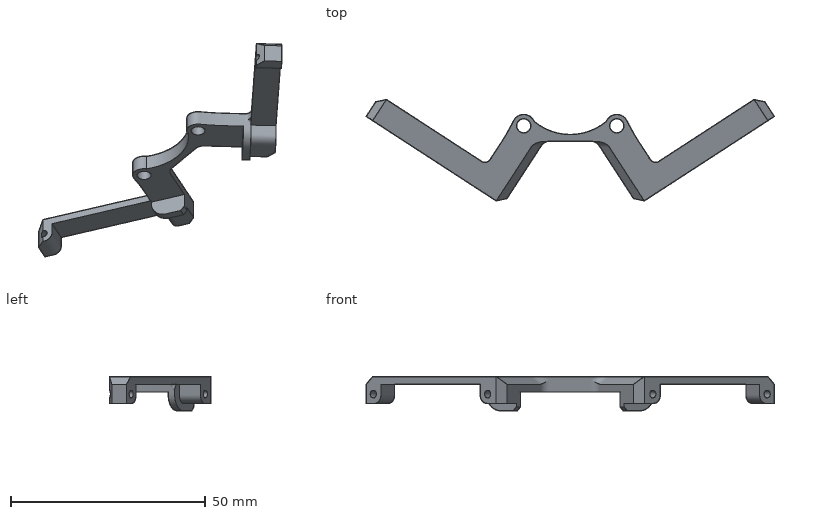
import cadquery as cq
import math

half_length = 52.6
arm_angle = 33.0
arm_reach = 40.0
arm_width = 6.5
arm_thickness = 2.0
inner_arm_width = 7.2
core_thickness = 4.0
bevel = 2.0

lug_width = 4.5
elbow_lug_reach = 4.9
lug_depth = 6.9
lug_round = 2.1
lug_hole_diameter = 1.9
lug_hole_offset = 2.3
elbow_hole_offset = 2.3
lug_hole_depth = 4.5

flange_thickness = 2.0
flange_depth = 8.8
flange_round = 4.2
flange_chamfer = 1.0

boss_x = 12.0
boss_y = 19.4
boss_radius = 2.9
boss_hole_diameter = 3.6
bridge_front = 15.4
bridge_back = 17.1
saddle_radius = 14.5
flare_start_y = 15.1
flare_tangent_angle = 155.0
elbow_fillet = 1.6
bridge_fillet = 2.5

angle = math.radians(arm_angle)
elbow_x = arm_reach * math.cos(angle) - half_length
along = cq.Vector(math.cos(angle), -math.sin(angle), 0)
across = cq.Vector(math.sin(angle), math.cos(angle), 0)
elbow = cq.Vector(elbow_x, 0, 0)
margin = 0.1
overlap = 0.5


def local(x, y):
    """Global XY of a point given in the arm frame."""
    point = elbow + along * x + across * y
    return (point.x, point.y)


def boss_point(direction):
    """Point on the boss circle at an angle in radians."""
    return (-boss_x + boss_radius * math.cos(direction), boss_y + boss_radius * math.sin(direction))


def prism(points, depth):
    """Straight-sided block in the arm frame, from the top face down."""
    return cq.Workplane("XY").polyline([local(*p) for p in points]).close().extrude(-depth)


def profile_block(points, y_start, length):
    """Block with an outline in the arm's x-Z plane, extruded along y."""
    x0, y0 = local(0, y_start)
    plane = cq.Plane(origin=(x0, y0, 0), xDir=along.toTuple(), normal=(-across).toTuple())
    return cq.Workplane(plane).polyline(points).close().extrude(-length)


def round_bottom(block, side, radius):
    """Round the bottom edge of a block at its low or high x side."""
    edges = block.faces("<Z").edges().vals()
    edge = max(edges, key=lambda e: side * e.Center().dot(along))
    return block.newObject([edge]).fillet(radius)


def lug(x_start, x_end, rounded_side):
    block = prism([(x_start, 0), (x_end, 0), (x_end, arm_width), (x_start, arm_width)], lug_depth)
    return round_bottom(block, rounded_side, lug_round)


def outer_arm():
    corners = [(-arm_reach, 0), (0, 0), (0, arm_width), (-arm_reach, arm_width)]
    return prism(corners, arm_thickness).union(lug(-arm_reach, lug_width - arm_reach, 1))


def flange():
    outline = [
        (-inner_arm_width, 0),
        (bevel, 0),
        (bevel, flange_chamfer - flange_depth),
        (bevel - flange_chamfer, -flange_depth),
        (-inner_arm_width, -flange_depth),
    ]
    plate = profile_block(outline, arm_width, flange_thickness)
    return round_bottom(plate, -1, flange_round)


def inner_arm():
    """Inner arm with its flared boss and half of the bridge."""
    arm_end = (bridge_front - local(bevel, 0)[1]) / across.y
    bridge_corner = local(bevel, arm_end)
    side_start = local(-inner_arm_width, 0)
    flare_length = (flare_start_y - side_start[1]) / across.y
    flare_start = local(-inner_arm_width, flare_length)
    flare_angle = math.radians(flare_tangent_angle)
    flare_end = boss_point(flare_angle)

    saddle_y = bridge_back + saddle_radius
    span = math.hypot(boss_x, saddle_y - boss_y)
    toward_saddle = math.atan2(saddle_y - boss_y, boss_x)
    cosine = (span**2 + boss_radius**2 - saddle_radius**2) / (2 * span * boss_radius)
    meet_angle = toward_saddle - math.acos(cosine)
    saddle_start = boss_point(meet_angle)
    boss_mid = (flare_angle + meet_angle) / 2
    boss_top = boss_point(boss_mid)
    saddle_mid_angle = math.asin(-saddle_start[0] / saddle_radius) / 2
    saddle_mid = (
        -saddle_radius * math.sin(saddle_mid_angle),
        saddle_y - saddle_radius * math.cos(saddle_mid_angle),
    )
    return (
        cq.Workplane("XY")
        .moveTo(*side_start)
        .lineTo(*flare_start)
        .tangentArcPoint(flare_end, relative=False)
        .threePointArc(boss_top, saddle_start)
        .threePointArc(saddle_mid, (0, bridge_back))
        .lineTo(0, bridge_front)
        .lineTo(*bridge_corner)
        .lineTo(*local(bevel, 0))
        .close()
        .extrude(-core_thickness)
    )


def under_elbow():
    """Space outside the elbow lug, below the outer arm."""
    left = -inner_arm_width - overlap
    right = -elbow_lug_reach
    corners = [(left, -overlap), (right, -overlap), (right, arm_width), (left, arm_width)]
    return prism(corners, core_thickness).translate((0, 0, -arm_thickness))


def corner_cut(x, y, x_step, y_step):
    """Vertical chamfer of an arm corner."""
    return prism([(x, y), (x - x_step, y), (x, y - y_step)], lug_depth)


def top_bevel(edge_x, direction, y_start, length):
    """Chamfer along the top edge at edge_x; direction points out of the arm."""
    inside = edge_x - direction * bevel
    return profile_block([(inside, 0), (edge_x, 0), (edge_x, -bevel)], y_start, length)


def lug_hole(x, depth):
    x0, y0 = local(x, 0)
    plane = cq.Plane(origin=(x0, y0, -lug_hole_depth), xDir=along.toTuple(), normal=across.toTuple())
    return cq.Workplane(plane).circle(lug_hole_diameter / 2).extrude(depth)


def half_part():
    half = outer_arm().union(inner_arm().cut(under_elbow()))
    half = half.union(lug(-elbow_lug_reach, bevel, -1)).union(flange())
    half = half.cut(corner_cut(bevel, 0, bevel, -bevel))
    half = half.cut(corner_cut(-arm_reach, arm_width, -bevel, bevel))
    half = half.cut(top_bevel(-arm_reach, -1, -overlap, arm_width + 2 * overlap))

    bridge_guard = cq.Workplane("XY").rect(half_length, bridge_back).extrude(-core_thickness)
    bridge_guard = bridge_guard.translate((0, bridge_front + bridge_back / 2, 0))
    inner_bevel = top_bevel(bevel, 1, -overlap, 2 * bridge_back)
    half = half.cut(inner_bevel.cut(bridge_guard))

    elbow_corner = local(-inner_arm_width, arm_width)
    half = half.edges(cq.selectors.BoxSelector(
        (elbow_corner[0] - margin, elbow_corner[1] - margin, -arm_thickness - margin),
        (elbow_corner[0] + margin, elbow_corner[1] + margin, margin),
    )).edges("|Z").fillet(elbow_fillet)

    top_corner_x = elbow_x + bridge_front * math.tan(angle)
    bottom_corner_x = top_corner_x + bevel / math.cos(angle)
    corner_edges = cq.selectors.BoxSelector(
        (top_corner_x + margin, bridge_front - margin, -core_thickness),
        (bottom_corner_x + margin, bridge_front + margin, 0),
    )
    half = half.edges(corner_edges).fillet(bridge_fillet)

    half = half.cut(lug_hole(lug_width - arm_reach - lug_hole_offset, arm_width))
    half = half.cut(lug_hole(elbow_hole_offset - elbow_lug_reach, arm_width))
    boss_hole = cq.Workplane("XY").center(-boss_x, boss_y).circle(boss_hole_diameter / 2)
    return half.cut(boss_hole.extrude(-core_thickness))


left = half_part()
result = left.union(left.mirror("YZ")).clean()